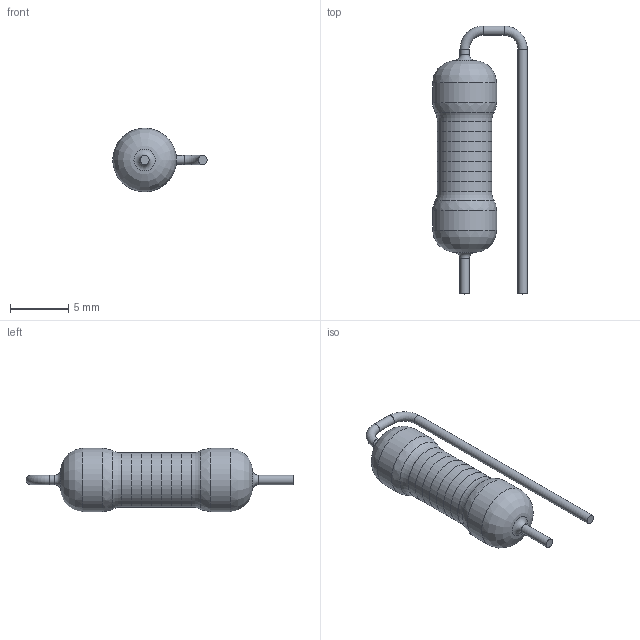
import cadquery as cq
import math


end_diameter = 5.5
neck_diameter = 4.67
body_length = 16.5
dome_radius = 1.9
end_cap_length = 1.72
shoulder_length = 1.6

band_diameter = 4.7
band_count = 7

wire_diameter = 0.8
wire_pitch = 5.0
bend_radius = 2 * wire_diameter
overall_length = 23.1
return_loop_height = 3.0
meniscus_radius = 0.55

end_radius = end_diameter / 2
neck_radius = neck_diameter / 2
wire_radius = wire_diameter / 2
half_body = body_length / 2
dome_start = half_body - dome_radius
shoulder_start = dome_start - end_cap_length
neck_end = shoulder_start - shoulder_length
band_width = 2 * neck_end / band_count
loop_y = half_body + return_loop_height - wire_radius
leg_tip_y = loop_y + wire_radius - overall_length
bend_start_y = loop_y - bend_radius


def arc_point(center, radius, degrees):
    angle = math.radians(degrees)
    return (center[0] + radius * math.cos(angle), center[1] + radius * math.sin(angle))


def make_half_body():
    """Half of the body, from the middle plane to the +Y end, with its meniscus."""
    step = end_radius - neck_radius
    shoulder_radius = (shoulder_length ** 2 + step ** 2) / (4 * step)
    half_sweep = math.degrees(math.asin(shoulder_length / 2 / shoulder_radius)) / 2
    middle = ((neck_radius + end_radius) / 2, neck_end + shoulder_length / 2)
    neck_arc_center = (neck_radius + shoulder_radius, neck_end)
    end_arc_center = (end_radius - shoulder_radius, shoulder_start)
    dome_center = (end_radius - dome_radius, dome_start)

    meniscus_x = wire_radius + meniscus_radius
    center_distance = dome_radius + meniscus_radius
    meniscus_y = dome_start + math.sqrt(center_distance ** 2 - (meniscus_x - dome_center[0]) ** 2)
    meniscus_center = (meniscus_x, meniscus_y)
    contact_angle = math.degrees(math.atan2(meniscus_y - dome_start, meniscus_x - dome_center[0]))
    dome_contact = arc_point(dome_center, dome_radius, contact_angle)
    meniscus_middle = arc_point(meniscus_center, meniscus_radius, (contact_angle + 360) / 2)

    profile = (
        cq.Workplane("XY")
        .lineTo(neck_radius, 0)
        .lineTo(neck_radius, neck_end)
        .threePointArc(arc_point(neck_arc_center, shoulder_radius, 180 - half_sweep), middle)
        .threePointArc(arc_point(end_arc_center, shoulder_radius, -half_sweep), (end_radius, shoulder_start))
        .lineTo(end_radius, dome_start)
        .threePointArc(arc_point(dome_center, dome_radius, contact_angle / 2), dome_contact)
        .threePointArc(meniscus_middle, (wire_radius, meniscus_y))
        .lineTo(0, meniscus_y)
        .close()
    )
    return profile.revolve(360, (0, 0, 0), (0, 1, 0))


def make_bands():
    """Thin rings laid edge to edge over the neck, raised slightly above it."""
    bands = []
    for index in range(band_count):
        start_y = index * band_width - neck_end
        band = (
            cq.Workplane("XZ", origin=(0, start_y, 0))
            .circle(band_diameter / 2)
            .extrude(-band_width)
        )
        bands.append(band)
    return bands


def make_wire():
    """One wire: short leg, through the body, U-bend, long leg back beside the body."""
    corner_offset = bend_radius * (1 - math.sqrt(0.5))
    right_bend_x = wire_pitch - bend_radius
    path = (
        cq.Workplane("XY")
        .moveTo(0, leg_tip_y)
        .lineTo(0, bend_start_y)
        .threePointArc((corner_offset, loop_y - corner_offset), (bend_radius, loop_y))
        .lineTo(right_bend_x, loop_y)
        .threePointArc((wire_pitch - corner_offset, loop_y - corner_offset), (wire_pitch, bend_start_y))
        .lineTo(wire_pitch, leg_tip_y)
    )
    return cq.Workplane("XZ", origin=(0, leg_tip_y, 0)).circle(wire_radius).sweep(path)


upper_half = make_half_body()
result = upper_half.union(upper_half.mirror("XZ"))
result = result.union(make_wire())
for band in make_bands():
    result = result.union(band, clean=False)